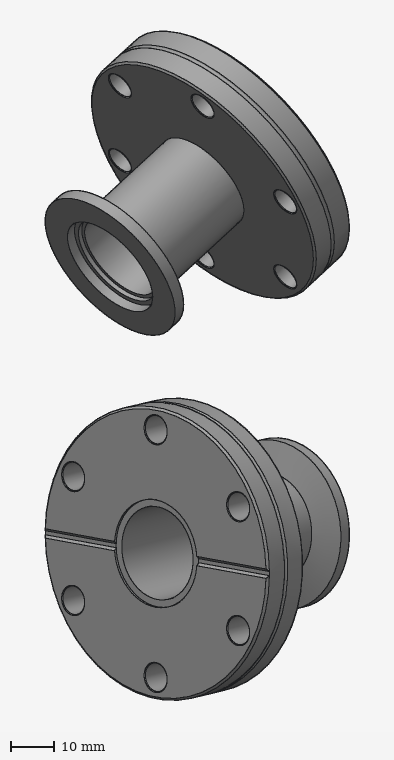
import cadquery as cq


TOTAL_LENGTH = 45.3

FLANGE_DIAMETER = 69.1
FLANGE_THICKNESS = 12.7
BACK_CHAMFER = 0.55
FRONT_CHAMFER = 0.5
BOLT_COUNT = 6
BOLT_HOLE_DIAMETER = 6.7
BOLT_CIRCLE_DIAMETER = 58.7
BOLT_HOLE_CHAMFER = 0.2
RIM_GROOVE_CENTRE = 6.4
RIM_GROOVE_WIDTH = 1.1
RIM_GROOVE_DEPTH = 0.3
LEAK_CHANNEL_WIDTH = 2.2
LEAK_CHANNEL_DEPTH = 0.6

TUBE_OUTER_DIAMETER = 25.4
TUBE_BORE_DIAMETER = 22.0

CLAMP_DIAMETER = 40.0
CLAMP_RIM_THICKNESS = 3.05
CLAMP_THICKNESS = 5.0
CLAMP_BORE_DIAMETER = 23.8
RECESS_DIAMETER = 26.2
RECESS_DEPTH = 2.5
TUBE_END_DEPTH = 3.65

front_y = -TOTAL_LENGTH
tube_front_y = front_y + TUBE_END_DEPTH
tube_back_y = -LEAK_CHANNEL_DEPTH


def ring(outer_diameter, inner_diameter, start_y, end_y):
    """Plain tube along Y between two stations, start_y being the rear one."""
    return (
        cq.Workplane("XZ", origin=(0, start_y, 0))
        .circle(outer_diameter / 2)
        .circle(inner_diameter / 2)
        .extrude(start_y - end_y)
    )


def revolve_about_y(profile):
    """Turn an (x, y) half-profile about the Y axis."""
    return profile.close().revolve(360, (0, 0, 0), (0, 1, 0))


def make_bolted_flange():
    outer_radius = FLANGE_DIAMETER / 2
    bore_radius = TUBE_OUTER_DIAMETER / 2
    groove_back_y = -RIM_GROOVE_CENTRE + RIM_GROOVE_WIDTH / 2
    groove_front_y = -RIM_GROOVE_CENTRE - RIM_GROOVE_WIDTH / 2

    disc = revolve_about_y(
        cq.Workplane("XY")
        .moveTo(bore_radius, 0)
        .lineTo(outer_radius - BACK_CHAMFER, 0)
        .lineTo(outer_radius, -BACK_CHAMFER)
        .lineTo(outer_radius, groove_back_y)
        .threePointArc(
            (outer_radius - RIM_GROOVE_DEPTH, -RIM_GROOVE_CENTRE),
            (outer_radius, groove_front_y),
        )
        .lineTo(outer_radius, -FLANGE_THICKNESS + FRONT_CHAMFER)
        .lineTo(outer_radius - FRONT_CHAMFER, -FLANGE_THICKNESS)
        .lineTo(bore_radius, -FLANGE_THICKNESS)
    )
    return disc.cut(make_bolt_holes()).cut(make_leak_channel())


def make_bolt_holes():
    """Through holes on the bolt circle, each chamfered at both mouths."""
    hole_radius = BOLT_HOLE_DIAMETER / 2
    mouth_radius = hole_radius + BOLT_HOLE_CHAMFER
    hole = revolve_about_y(
        cq.Workplane("XY")
        .moveTo(0, 0)
        .lineTo(mouth_radius, 0)
        .lineTo(hole_radius, -BOLT_HOLE_CHAMFER)
        .lineTo(hole_radius, -FLANGE_THICKNESS + BOLT_HOLE_CHAMFER)
        .lineTo(mouth_radius, -FLANGE_THICKNESS)
        .lineTo(0, -FLANGE_THICKNESS)
    ).translate((0, 0, BOLT_CIRCLE_DIAMETER / 2))
    holes = cq.Workplane("XY")
    for index in range(BOLT_COUNT):
        holes = holes.add(hole.rotate((0, 0, 0), (0, 1, 0), index * 360 / BOLT_COUNT))
    return holes.combine()


def make_leak_channel():
    """Straight channel with 45 degree flanks across the whole back face."""
    half_width = LEAK_CHANNEL_WIDTH / 2
    half_floor = half_width - LEAK_CHANNEL_DEPTH
    return (
        cq.Workplane("YZ")
        .polyline([
            (0, -half_width),
            (0, half_width),
            (-LEAK_CHANNEL_DEPTH, half_floor),
            (-LEAK_CHANNEL_DEPTH, -half_floor),
        ])
        .close()
        .extrude(FLANGE_DIAMETER / 2, both=True)
    )


def make_tube():
    return ring(TUBE_OUTER_DIAMETER, TUBE_BORE_DIAMETER, tube_back_y, tube_front_y)


def make_clamp_flange():
    """Rim with a conical back, a tube socket behind and a recess in front."""
    rim_radius = CLAMP_DIAMETER / 2
    socket_radius = TUBE_OUTER_DIAMETER / 2
    bore_radius = CLAMP_BORE_DIAMETER / 2
    recess_radius = RECESS_DIAMETER / 2
    recess_floor_y = front_y + RECESS_DEPTH
    return revolve_about_y(
        cq.Workplane("XY")
        .moveTo(recess_radius, front_y)
        .lineTo(rim_radius, front_y)
        .lineTo(rim_radius, front_y + CLAMP_RIM_THICKNESS)
        .lineTo(socket_radius, front_y + CLAMP_THICKNESS)
        .lineTo(socket_radius, tube_front_y)
        .lineTo(bore_radius, tube_front_y)
        .lineTo(bore_radius, recess_floor_y)
        .lineTo(recess_radius, recess_floor_y)
    )


bolted_flange = make_bolted_flange()
tube = make_tube()
clamp_flange = make_clamp_flange()

result = cq.Compound.makeCompound([
    bolted_flange.val(),
    tube.val(),
    clamp_flange.val(),
])